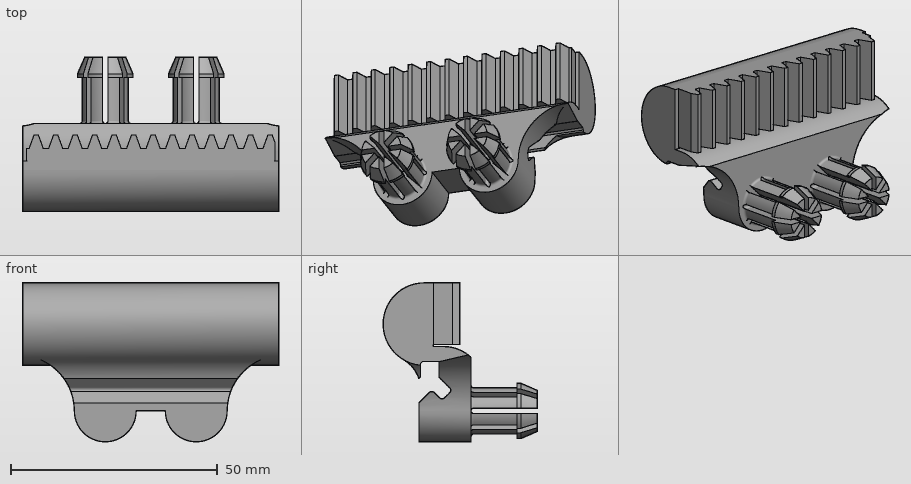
import cadquery as cq
import math

LENGTH = 62.0
HALF_LENGTH = LENGTH / 2
BAR_RADIUS = 10.0

RACK_MODULE = 1.5
TOOTH_PITCH = math.pi * RACK_MODULE
TOOTH_HEIGHT = 2.25 * RACK_MODULE
TOOTH_TIP_WIDTH = 1.0
PRESSURE_ANGLE = math.radians(20)
TOOTH_COUNT = 13
FIRST_TOOTH_X = -27.7
RACK_HALF_LENGTH = 30.0
RACK_ROOT_Y = 5.2
RACK_BOTTOM_Z = -5.0
SHOULDER_Y = 2.2

TONGUE_TOP_Z = -5.4
TONGUE_ARC_START_Y = 4.65
TONGUE_ARC_RADIUS = 9.7
TONGUE_TIP_Y = 10.62
TONGUE_UNDERSIDE_SLOPE = 0.233

PLATE_FRONT_Y = -1.35
PLATE_BACK_Y = 11.3
FOOT_RADIUS = 7.5
FOOT_X = 11.0
FOOT_Z = -21.0
FLARE_RADIUS = 13.5
LIP_FILLET_RADIUS = 8.0

CHANNEL_TOP_Z = -9.07
CHANNEL_BACK_Y = 3.5
LIP_INNER_Y = -0.9
LIP_CHAMFER = 0.45
LIP_BOTTOM_Z = -13.2
HOOK_START_Z = -12.8
HOOK_DEPTH = 3.2
HOOK_END_SIZE = 2.4
RIDGE_FOOT_Z = -19.05
HOOK_ROUND = 0.85
RIDGE_ROUND = 1.0

PEG_RADIUS = 5.65
COLLAR_RADIUS = 6.75
PEG_TIP_RADIUS = 5.0
COLLAR_START_Y = 22.37
COLLAR_END_Y = 23.32
PEG_TIP_Y = 27.36
PEG_SLOT_WIDTH = 1.25
PEG_DIAGONAL_SLOT_WIDTH = 1.55
PEG_BASE_FILLET = 0.6


def tongue_arc_z(y):
    """Height of the convex round on top of the tongue."""
    run = y - TONGUE_ARC_START_Y
    return TONGUE_TOP_Z - TONGUE_ARC_RADIUS + math.sqrt(TONGUE_ARC_RADIUS**2 - run**2)


def extrude_along_x(profile):
    """Extrude a (Y, Z) profile over the full length, centered on X = 0."""
    return profile.extrude(HALF_LENGTH, both=True)


def make_bar():
    """Round bar with a flat top behind its axis, cut off at the shoulder."""
    shoulder_cut = cq.Workplane("XY").box(
        LENGTH, BAR_RADIUS, 2 * BAR_RADIUS, centered=(True, False, True)
    ).translate((0, SHOULDER_Y, 0))
    bar = extrude_along_x(cq.Workplane("YZ").circle(BAR_RADIUS))
    top_fill = cq.Workplane("XY").box(
        LENGTH, SHOULDER_Y, BAR_RADIUS, centered=(True, False, False)
    )
    return bar.union(top_fill).cut(shoulder_cut)


def make_rack():
    """Rack with straight-flanked teeth, trimmed square at both ends."""
    flank_run = TOOTH_HEIGHT * math.tan(PRESSURE_ANGLE)
    half_tip = TOOTH_TIP_WIDTH / 2
    half_root = half_tip + flank_run
    tip_y = RACK_ROOT_Y + TOOTH_HEIGHT
    height = BAR_RADIUS - RACK_BOTTOM_Z
    rack = cq.Workplane("XY").box(
        2 * RACK_HALF_LENGTH, RACK_ROOT_Y, height, centered=(True, False, False)
    )
    for index in range(TOOTH_COUNT):
        x = FIRST_TOOTH_X + index * TOOTH_PITCH
        tooth = (
            cq.Workplane("XY")
            .moveTo(x - half_root, 0)
            .lineTo(x - half_root, RACK_ROOT_Y)
            .lineTo(x - half_tip, tip_y)
            .lineTo(x + half_tip, tip_y)
            .lineTo(x + half_root, RACK_ROOT_Y)
            .lineTo(x + half_root, 0)
            .close()
            .extrude(height)
        )
        rack = rack.union(tooth)
    envelope = cq.Workplane("XY").box(
        2 * RACK_HALF_LENGTH, tip_y, height, centered=(True, False, False)
    )
    return rack.intersect(envelope).translate((0, 0, RACK_BOTTOM_Z))


def make_tongue():
    """Tapering tongue with a rounded top and a sloped underside."""
    tip_z = tongue_arc_z(TONGUE_TIP_Y)
    middle_y = (TONGUE_ARC_START_Y + TONGUE_TIP_Y) / 2
    profile = (
        cq.Workplane("YZ")
        .moveTo(0, TONGUE_TOP_Z)
        .lineTo(TONGUE_ARC_START_Y, TONGUE_TOP_Z)
        .threePointArc((middle_y, tongue_arc_z(middle_y)), (TONGUE_TIP_Y, tip_z))
        .lineTo(0, tip_z - TONGUE_TIP_Y * TONGUE_UNDERSIDE_SLOPE)
        .close()
    )
    return extrude_along_x(profile)


def make_plate():
    """Side profile of the plate, trimmed to its flared two-footed front outline."""
    foot_bottom_z = FOOT_Z - FOOT_RADIUS
    middle_y = (TONGUE_ARC_START_Y + PLATE_BACK_Y) / 2
    center_distance = BAR_RADIUS + LIP_FILLET_RADIUS
    lip_distance = math.hypot(PLATE_FRONT_Y, LIP_BOTTOM_Z)
    lip_angle = math.atan2(LIP_BOTTOM_Z, PLATE_FRONT_Y)
    offset_cosine = (center_distance**2 + lip_distance**2 - LIP_FILLET_RADIUS**2) / (
        2 * center_distance * lip_distance
    )
    center_angle = lip_angle - math.acos(offset_cosine)
    center_y = center_distance * math.cos(center_angle)
    center_z = center_distance * math.sin(center_angle)
    touch_y = BAR_RADIUS * math.cos(center_angle)
    touch_z = BAR_RADIUS * math.sin(center_angle)
    lip_edge_angle = math.atan2(LIP_BOTTOM_Z - center_z, PLATE_FRONT_Y - center_y)
    touch_angle = math.atan2(touch_z - center_z, touch_y - center_y)
    round_angle = (lip_edge_angle + touch_angle) / 2
    round_middle = (
        center_y + LIP_FILLET_RADIUS * math.cos(round_angle),
        center_z + LIP_FILLET_RADIUS * math.sin(round_angle),
    )
    side_profile = (
        cq.Workplane("YZ")
        .moveTo(0, TONGUE_TOP_Z)
        .lineTo(TONGUE_ARC_START_Y, TONGUE_TOP_Z)
        .threePointArc(
            (middle_y, tongue_arc_z(middle_y)), (PLATE_BACK_Y, tongue_arc_z(PLATE_BACK_Y))
        )
        .lineTo(PLATE_BACK_Y, foot_bottom_z)
        .lineTo(PLATE_FRONT_Y, foot_bottom_z)
        .lineTo(PLATE_FRONT_Y, LIP_BOTTOM_Z)
        .threePointArc(round_middle, (touch_y, touch_z))
        .close()
    )
    outer_x = FOOT_X + FOOT_RADIUS
    inner_x = FOOT_X - FOOT_RADIUS
    flare_center_x = outer_x + FLARE_RADIUS
    flare_end_z = FOOT_Z + math.sqrt(FLARE_RADIUS**2 - (flare_center_x - HALF_LENGTH) ** 2)
    flare_middle_x = flare_center_x - FLARE_RADIUS * math.cos(math.pi / 4)
    flare_middle_z = FOOT_Z + FLARE_RADIUS * math.sin(math.pi / 4)
    front_outline = (
        cq.Workplane("XZ")
        .moveTo(-HALF_LENGTH, 0)
        .lineTo(-HALF_LENGTH, flare_end_z)
        .threePointArc((-flare_middle_x, flare_middle_z), (-outer_x, FOOT_Z))
        .threePointArc((-FOOT_X, foot_bottom_z), (-inner_x, FOOT_Z))
        .lineTo(inner_x, FOOT_Z)
        .threePointArc((FOOT_X, foot_bottom_z), (outer_x, FOOT_Z))
        .threePointArc((flare_middle_x, flare_middle_z), (HALF_LENGTH, flare_end_z))
        .lineTo(HALF_LENGTH, 0)
        .close()
        .extrude(LENGTH, both=True)
    )
    return extrude_along_x(side_profile).intersect(front_outline)


def make_channel():
    """Cutter for the hooked channel; its pocket walls all run at 45 degrees."""
    front_y = -BAR_RADIUS
    hook_y = CHANNEL_BACK_Y + HOOK_DEPTH
    hook_z = HOOK_START_Z - HOOK_DEPTH
    floor_y = hook_y - HOOK_END_SIZE
    floor_z = hook_z - HOOK_END_SIZE
    crest_y = (floor_y + floor_z + PLATE_FRONT_Y - RIDGE_FOOT_Z) / 2
    crest_z = floor_y + floor_z - crest_y
    lip_front_y = LIP_INNER_Y - LIP_CHAMFER
    channel = extrude_along_x(
        cq.Workplane("YZ")
        .moveTo(CHANNEL_BACK_Y, CHANNEL_TOP_Z)
        .lineTo(CHANNEL_BACK_Y, HOOK_START_Z)
        .lineTo(hook_y, hook_z)
        .lineTo(floor_y, floor_z)
        .lineTo(crest_y, crest_z)
        .lineTo(PLATE_FRONT_Y, RIDGE_FOOT_Z)
        .lineTo(front_y, RIDGE_FOOT_Z)
        .lineTo(front_y, LIP_BOTTOM_Z)
        .lineTo(lip_front_y, LIP_BOTTOM_Z)
        .lineTo(LIP_INNER_Y, LIP_BOTTOM_Z + LIP_CHAMFER)
        .lineTo(LIP_INNER_Y, CHANNEL_TOP_Z - LIP_CHAMFER)
        .lineTo(LIP_INNER_Y + LIP_CHAMFER, CHANNEL_TOP_Z)
        .close()
    )
    for y, z, radius in (
        (hook_y, hook_z, HOOK_ROUND),
        (floor_y, floor_z, HOOK_ROUND),
        (crest_y, crest_z, RIDGE_ROUND),
    ):
        edge = cq.selectors.NearestToPointSelector((0, y, z))
        channel = channel.edges("|X").edges(edge).fillet(radius)
    return channel


def make_peg_slot(x, width, angle):
    """Cutter along the whole peg, turned about the peg axis by the angle in degrees."""
    peg_length = PEG_TIP_Y - PLATE_BACK_Y
    span = 2 * COLLAR_RADIUS + width
    slot = cq.Workplane("XY").box(width, peg_length, span, centered=(True, False, True))
    return slot.rotate((0, 0, 0), (0, 1, 0), angle).translate((x, PLATE_BACK_Y, FOOT_Z))


def make_peg(x):
    """Collared peg pointing to +Y, split crosswise into quarters."""
    peg = (
        cq.Workplane("XY")
        .moveTo(0, PLATE_BACK_Y)
        .lineTo(PEG_RADIUS, PLATE_BACK_Y)
        .lineTo(PEG_RADIUS, COLLAR_START_Y)
        .lineTo(COLLAR_RADIUS, COLLAR_START_Y)
        .lineTo(COLLAR_RADIUS, COLLAR_END_Y)
        .lineTo(PEG_TIP_RADIUS, PEG_TIP_Y)
        .lineTo(0, PEG_TIP_Y)
        .close()
        .revolve(360, (0, 0, 0), (0, 1, 0))
    )
    peg = peg.translate((x, 0, FOOT_Z))
    for angle in (0, 90):
        peg = peg.cut(make_peg_slot(x, PEG_SLOT_WIDTH, angle))
    return peg


def fillet_peg_bases(body):
    """Round the foot of every peg quarter where it leaves the plate."""
    margin = 0.01
    for x in (-FOOT_X, FOOT_X):
        reach = PEG_RADIUS + margin
        base_edges = cq.selectors.BoxSelector(
            (x - reach, PLATE_BACK_Y - margin, FOOT_Z - reach),
            (x + reach, PLATE_BACK_Y + margin, FOOT_Z + reach),
            boundingbox=True,
        )
        body = body.edges(base_edges).fillet(PEG_BASE_FILLET)
    return body


body = make_bar().union(make_rack()).union(make_tongue()).union(make_plate())
body = body.cut(make_channel())
for peg_x in (-FOOT_X, FOOT_X):
    body = body.union(make_peg(peg_x))
body = fillet_peg_bases(body)
for peg_x in (-FOOT_X, FOOT_X):
    for slot_angle in (45, 135):
        body = body.cut(make_peg_slot(peg_x, PEG_DIAGONAL_SLOT_WIDTH, slot_angle))
result = body